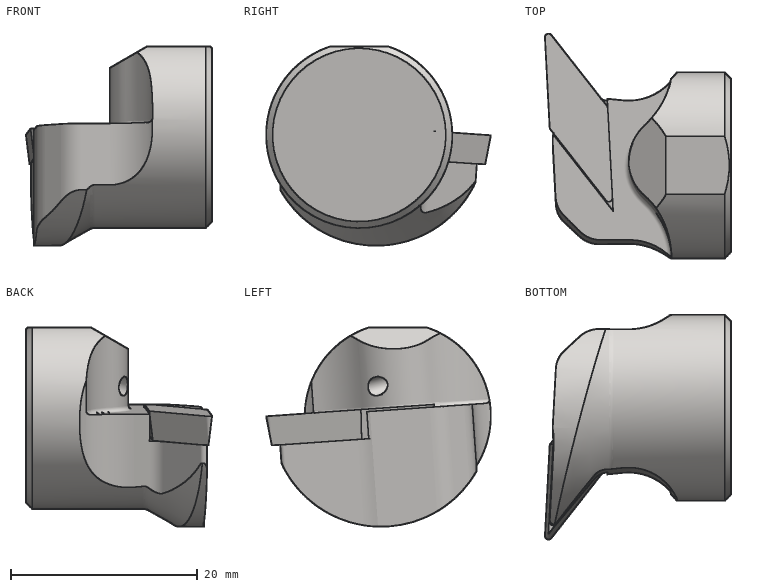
import cadquery as cq
import math


shank_radius = 10.0
back_chamfer = 0.7
cone_start_x = -12.9
cone_angle = 30.0
cone_blend_radius = 1.0
stock_front_x = -22.0

head_radius = 11.8
head_center_y = 1.8
head_center_z = -0.1

flat_z = 9.5
flat_front_x = -7.0
facet_angle = 30.0

tilt_angle = 4.0
floor_z = 0.69
tall = 40.0

boss_nose_x = -11.0
boss_nose_radius = 5.0
boss_flank_radius = 9.0
boss_flank_angle = 48.0
boss_foot_radius = 0.5

insert_edge = 11.07
insert_angle = 35.0
insert_thickness = 3.18
insert_clearance = 7.0
insert_tip_radius = 0.4
insert_proud = 0.27
insert_corner_x = -19.49
insert_corner_y = 3.95
lead_angle = 3.0
pocket_reach = 24.0
pocket_gap = 0.08

front_x = -19.17
front_top_y = 3.0
front_step = 0.2
step_width = 1.5
step_blend_radius = 5.6
nose_y = 13.65
nose_radius = 0.4
corner_sum = -23.35
corner_front_radius = 3.0
corner_side_radius = 3.0
side_y = -8.0
side_hollow_x = -4.67
side_hollow_radius = 6.3
far_start_x = -14.2
far_start_y = 7.27
far_start_radius = 2.0
far_end_y = 6.34
far_hollow_x = -5.0
far_hollow_radius = 6.0

hole_diameter = 2.0
hole_depth = 8.0
hole_lead_in = 3.0
hole_mouth = cq.Vector(-10.5, 2.2, 3.2)


def rounded_outline(plane, corners):
    """Closed outline through (x, y, radius) corners, each rounded where its radius is not zero."""
    outline = None
    for index, (x, y, radius) in enumerate(corners):
        corner = cq.Vector(x, y)
        before = (cq.Vector(*corners[index - 1][:2]) - corner).normalized()
        after = (cq.Vector(*corners[(index + 1) % len(corners)][:2]) - corner).normalized()
        half_angle = before.getAngle(after) / 2
        setback = radius / math.tan(half_angle)
        start = (corner + before * setback).toTuple()[:2]
        outline = plane.moveTo(*start) if outline is None else outline.lineTo(*start)
        if radius:
            bisector = (before + after).normalized()
            middle = corner + bisector * (radius / math.sin(half_angle) - radius)
            end = corner + after * setback
            outline = outline.threePointArc(middle.toTuple()[:2], end.toTuple()[:2])
    return outline.close()


def floor_plane(height=0.0):
    """Workplane parallel to the tilted floor, at a height above it."""
    tilt = math.radians(tilt_angle)
    normal = cq.Vector(0, math.sin(tilt), math.cos(tilt))
    origin = cq.Vector(0, 0, floor_z) + normal * height
    return cq.Workplane(cq.Plane(origin=origin, xDir=(1, 0, 0), normal=normal))


def along(start, angle, length):
    """Point at a length from start, at an angle from +Y turned toward -X."""
    turn = math.radians(angle)
    return (start[0] - length * math.sin(turn), start[1] + length * math.cos(turn))


def make_stock():
    """Turned blank: chamfered shank, blended cone and the off-axis head cylinder."""
    slope = math.radians(cone_angle)
    setback = cone_blend_radius * math.tan(slope / 2)
    cone_radius = shank_radius + (cone_start_x - stock_front_x) * math.tan(slope)
    blend_end = (cone_start_x - setback * math.cos(slope), shank_radius + setback * math.sin(slope))
    turned = (
        cq.Workplane("XY")
        .moveTo(0, 0)
        .lineTo(0, shank_radius - back_chamfer)
        .lineTo(-back_chamfer, shank_radius)
        .lineTo(cone_start_x + setback, shank_radius)
        .tangentArcPoint(blend_end, relative=False)
        .lineTo(stock_front_x, cone_radius)
        .lineTo(stock_front_x, 0)
        .close()
        .revolve(360, (0, 0), (1, 0))
    )
    split_x = cone_start_x + setback
    head = (
        cq.Workplane("YZ", origin=(stock_front_x, 0, 0))
        .center(head_center_y, head_center_z)
        .circle(head_radius)
        .extrude(split_x - stock_front_x)
    )
    shank = cq.Workplane("YZ", origin=(split_x, 0, 0)).circle(shank_radius).extrude(-split_x)
    return turned.intersect(head.union(shank))


def make_floor_and_boss():
    """Tall block with the tilted floor in front and the filleted boss wall behind."""
    flank = math.radians(boss_flank_angle)
    nose_center_x = boss_nose_x + boss_nose_radius
    tangent_x = nose_center_x - boss_nose_radius * math.cos(flank)
    tangent_y = boss_nose_radius * math.sin(flank)
    center_span = boss_nose_radius + boss_flank_radius
    flank_end_x = nose_center_x - center_span * math.cos(flank) + boss_flank_radius
    flank_end_y = center_span * math.sin(flank)
    flank_middle_x = flank_end_x - boss_flank_radius * (1 - math.cos(flank / 2))
    flank_middle_y = flank_end_y - boss_flank_radius * math.sin(flank / 2)
    boss = (
        floor_plane()
        .moveTo(tall, flank_end_y)
        .lineTo(flank_end_x, flank_end_y)
        .threePointArc((flank_middle_x, flank_middle_y), (tangent_x, tangent_y))
        .threePointArc((boss_nose_x, 0), (tangent_x, -tangent_y))
        .threePointArc((flank_middle_x, -flank_middle_y), (flank_end_x, -flank_end_y))
        .lineTo(tall, -flank_end_y)
        .close()
        .extrude(tall)
    )
    base = floor_plane().rect(2 * tall, 2 * tall).extrude(-tall)
    block = base.union(boss)
    foot = block.edges("%CIRCLE").filter(lambda edge: edge.Center().z < tall / 2)
    return foot.fillet(boss_foot_radius)


def head_corners():
    """Corners of the head outline, opening out behind the head to clear the whole shank."""
    lead = math.tan(math.radians(lead_angle))

    def front_at(y):
        return front_x + (front_top_y - y) * lead

    step_y = front_top_y + step_width / 2
    corner_y = (corner_sum - front_x - front_top_y * lead) / (1 - lead)
    return [
        (front_at(nose_y) + front_step, nose_y, nose_radius),
        (front_at(step_y) + front_step, step_y, step_blend_radius),
        (front_x, front_top_y, 0),
        (front_at(corner_y), corner_y, corner_front_radius),
        (corner_sum - side_y, side_y, corner_side_radius),
        (side_hollow_x, side_y, side_hollow_radius),
        (side_hollow_x, -tall, 0),
        (tall, -tall, 0),
        (tall, tall, 0),
        (far_hollow_x, tall, 0),
        (far_hollow_x, far_end_y, far_hollow_radius),
        (far_start_x, far_start_y, far_start_radius),
    ]


insert_corner = (insert_corner_x, insert_corner_y)
long_angle = lead_angle + insert_angle
sharp_tip = along(insert_corner, lead_angle, insert_edge)
inner_tip = along(insert_corner, long_angle, -insert_edge)
far_corner = along(inner_tip, lead_angle, insert_edge)


def make_insert():
    """Rhombic insert standing slightly proud of the floor, its flanks tapering downward."""
    outline = rounded_outline(
        floor_plane(insert_proud),
        [
            (*insert_corner, 0),
            (*inner_tip, insert_tip_radius),
            (*far_corner, 0),
            (*sharp_tip, insert_tip_radius),
        ],
    )
    return outline.extrude(-insert_thickness, taper=insert_clearance)


def make_pocket():
    """Corner seat: a wall on the insert's rear edge and one a small gap off its long edge."""
    pocket_tip = along(inner_tip, lead_angle, -pocket_gap / math.sin(math.radians(insert_angle)))
    rear_end = along(pocket_tip, lead_angle, pocket_reach)
    front_end = along(pocket_tip, long_angle, pocket_reach)
    return (
        floor_plane(insert_proud)
        .polyline([pocket_tip, rear_end, front_end])
        .close()
        .extrude(-insert_thickness)
    )


def make_flat_cut():
    """Everything above the flat and the facet that slopes down from it."""
    facet_drop = (flat_front_x - stock_front_x) * math.tan(math.radians(facet_angle))
    return (
        cq.Workplane("XZ")
        .polyline(
            [
                (0, flat_z),
                (flat_front_x, flat_z),
                (stock_front_x, flat_z - facet_drop),
                (stock_front_x, tall),
                (0, tall),
            ]
        )
        .close()
        .extrude(tall / 2, both=True)
    )


def make_hole():
    """Blind coolant hole, started in the open so that it breaks cleanly through the boss wall."""
    cutting_tip = floor_plane(insert_proud).plane.toWorldCoords(sharp_tip)
    inward = (hole_mouth - cutting_tip).normalized()
    start = hole_mouth - inward * hole_lead_in
    bore = cq.Workplane(cq.Plane(origin=start, normal=inward)).circle(hole_diameter / 2)
    return bore.extrude(hole_lead_in + hole_depth)


head_sides = rounded_outline(floor_plane(-tall), head_corners()).extrude(2 * tall)
holder = make_stock().intersect(make_floor_and_boss()).intersect(head_sides)
holder = holder.cut(make_flat_cut()).cut(make_pocket()).cut(make_hole())

insert = make_insert()

result = cq.Compound.makeCompound([holder.val(), insert.val()])